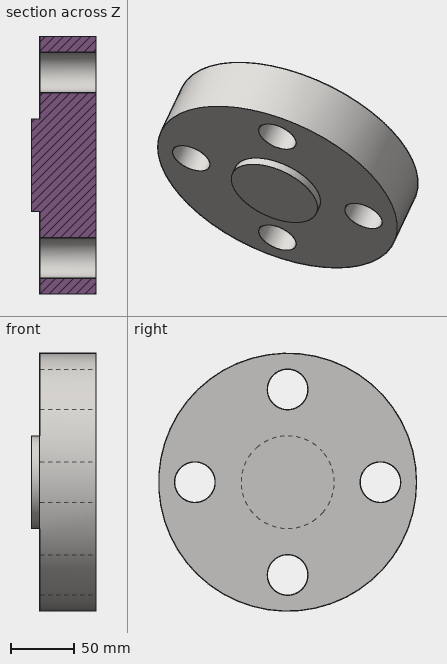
import cadquery as cq

flange_diameter = 203.2
overall_thickness = 50.8
raised_face_diameter = 73.15
raised_face_height = 6.35
bolt_circle_diameter = 146.05
bolt_hole_diameter = 31.75
bolt_hole_count = 4

flange_thickness = overall_thickness - raised_face_height


def make_disc():
    """Flange disc, with its front on the YZ plane and its back toward +X."""
    return cq.Workplane("YZ").circle(flange_diameter / 2).extrude(flange_thickness)


def make_raised_face():
    """Round sealing face standing proud of the disc toward -X."""
    return cq.Workplane("YZ").circle(raised_face_diameter / 2).extrude(-raised_face_height)


def make_bolt_holes():
    """Cylinders that cut the bolt holes through the disc, the first one on +Y."""
    return (
        cq.Workplane("YZ")
        .polarArray(bolt_circle_diameter / 2, 0, 360, bolt_hole_count)
        .circle(bolt_hole_diameter / 2)
        .extrude(flange_thickness)
    )


result = make_disc().union(make_raised_face()).cut(make_bolt_holes())